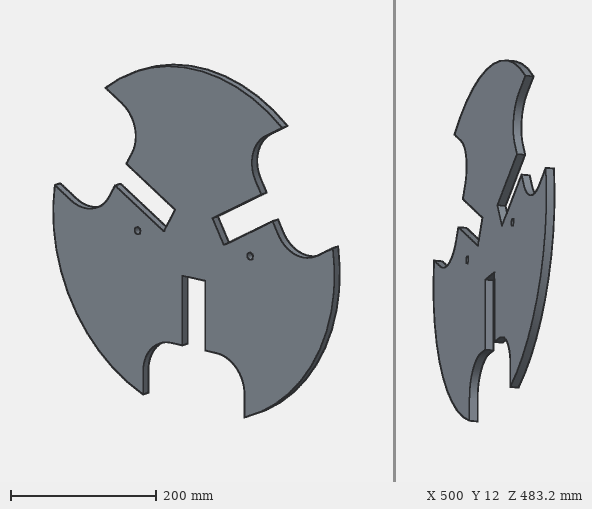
import cadquery as cq

disc_radius = 250.0
thickness = 12.0

notch_count = 3
slot_width = 40.0
slot_inner_distance = 50.0
mouth_width = 180.0
mouth_inner_distance = 150.0
mouth_corner_radius = 50.0
rim_overrun = 25.0

hole_diameter = 10.0
hole_spacing = 200.0


def radial_cutter(width, inner_distance):
    """Block pointing down from inner_distance to beyond the rim."""
    length = disc_radius + rim_overrun - inner_distance
    centre_z = -(inner_distance + length / 2)
    return cq.Workplane("XZ").center(0, centre_z).rect(width, length).extrude(thickness / 2, both=True)


def notch():
    """Narrow slot opening into a wide mouth with rounded inner corners."""
    slot = radial_cutter(slot_width, slot_inner_distance)
    mouth = radial_cutter(mouth_width, mouth_inner_distance)
    mouth = mouth.edges("|Y and >Z").fillet(mouth_corner_radius)
    return slot.union(mouth)


result = cq.Workplane("XZ").circle(disc_radius).extrude(thickness / 2, both=True)

for index in range(notch_count):
    angle = index * 360 / notch_count
    result = result.cut(notch().rotate((0, 0, 0), (0, 1, 0), angle))

holes = (
    cq.Workplane("XZ")
    .pushPoints([(-hole_spacing / 2, 0), (hole_spacing / 2, 0)])
    .circle(hole_diameter / 2)
    .extrude(thickness / 2, both=True)
)
result = result.cut(holes)